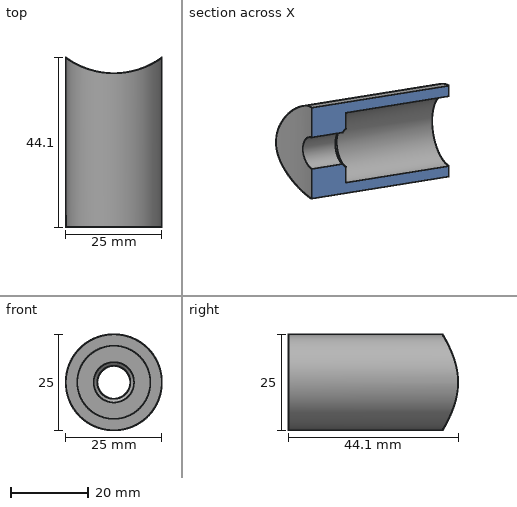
import cadquery as cq
import math

outer_diameter = 25.0
bore_diameter = 19.0
screw_hole_diameter = 8.5
countersink_diameter = 10.5
countersink_angle = 90.0

saddle_diameter = 42.4
centre_length = 40.0
floor_thickness = 10.0

bore_depth = centre_length - floor_thickness
countersink_width = (countersink_diameter - screw_hole_diameter) / 2
countersink_depth = countersink_width / math.tan(math.radians(countersink_angle / 2))
saddle_axis_y = centre_length + saddle_diameter / 2


def cylinder_along_y(diameter, start_y, end_y):
    """Solid cylinder on the Y axis between two Y positions."""
    return (
        cq.Workplane("XZ", origin=(0, start_y, 0))
        .circle(diameter / 2)
        .extrude(start_y - end_y)
    )


def saddle_cutter():
    """Upright cylinder the size of the mating tube."""
    return (
        cq.Workplane("XY")
        .center(0, saddle_axis_y)
        .circle(saddle_diameter / 2)
        .extrude(outer_diameter, both=True)
    )


def countersunk_hole_cutter():
    """Hole through the floor, with a cone widening it towards the bore."""
    hole = cylinder_along_y(screw_hole_diameter, bore_depth, saddle_axis_y)
    cone = cq.Solid.makeCone(
        countersink_diameter / 2,
        screw_hole_diameter / 2,
        countersink_depth,
        pnt=cq.Vector(0, bore_depth, 0),
        dir=cq.Vector(0, 1, 0),
    )
    return hole.union(cq.Workplane(obj=cone))


def standoff():
    """Saddle-ended cylinder with its bore and the countersunk hole in the floor."""
    body = cylinder_along_y(outer_diameter, 0, saddle_axis_y)
    body = body.cut(saddle_cutter())
    body = body.cut(cylinder_along_y(bore_diameter, 0, bore_depth))
    return body.cut(countersunk_hole_cutter())


result = standoff()